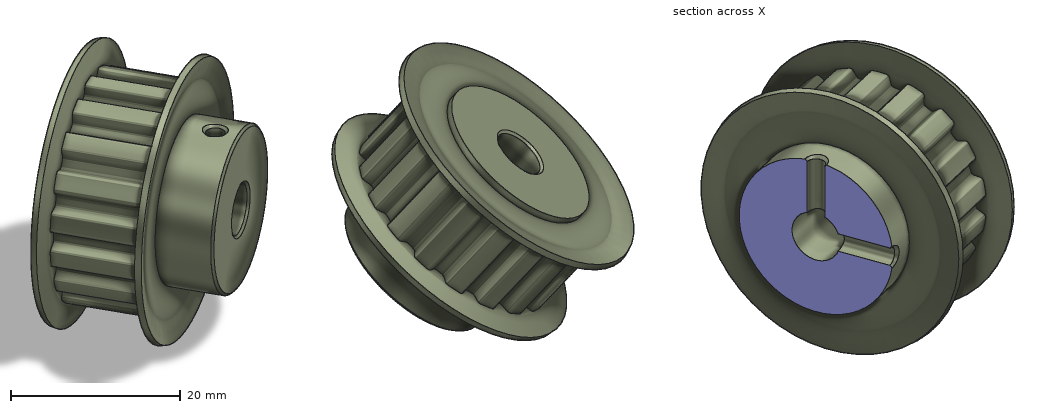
import cadquery as cq
import math


rim_length = 14.3
hub_length = 6.35
total_length = rim_length + hub_length
rim_middle = rim_length / 2

tooth_count = 18
tooth_pitch_angle = 360 / tooth_count
tip_radius = 14.32
groove_depth = 1.4
groove_floor_width = 1.32
groove_half_angle = 25
groove_floor_fillet = 0.41
tooth_tip_fillet = 0.47
root_radius = tip_radius - groove_depth
toothed_length = 10.95

flange_thickness = 0.8
flange_radius = 17.46
flange_bend_radius = 14.45
flange_bend_angle = 12

hub_radius = 10.33
hub_end_chamfer = 0.3
bore_diameter = 6.35
bore_chamfer = 0.3
screw_hole_diameter = 2.3
screw_mouth_diameter = 3.1
screw_x = rim_length + hub_length / 2


def make_toothed_body():
    """Cylinder with tapered grooves; a tooth is centred on +Z, a groove on +Y."""
    body = cq.Workplane("YZ").circle(tip_radius).extrude(toothed_length)

    outer_reach = tip_radius + groove_depth
    floor_half = groove_floor_width / 2
    widening = (outer_reach - root_radius) * math.tan(math.radians(groove_half_angle))
    mouth_half = floor_half + widening
    groove = (
        cq.Workplane("YZ")
        .moveTo(root_radius, -floor_half)
        .lineTo(outer_reach, -mouth_half)
        .lineTo(outer_reach, mouth_half)
        .lineTo(root_radius, floor_half)
        .close()
        .extrude(toothed_length)
        .edges("|X and <Y")
        .fillet(groove_floor_fillet)
    )
    for index in range(tooth_count):
        body = body.cut(groove.rotate((0, 0, 0), (1, 0, 0), index * tooth_pitch_angle))

    groove_middle_radius = (root_radius + tip_radius) / 2
    tip_edges = [
        edge
        for edge in body.edges("|X").vals()
        if math.hypot(edge.Center().y, edge.Center().z) > groove_middle_radius
    ]
    body = body.newObject(tip_edges).fillet(tooth_tip_fillet)
    return body.translate((rim_middle - toothed_length / 2, 0, 0))


def make_left_flange():
    """Flange at the -X end: flat web, outer ring bent toward -X, rim square to the ring."""
    bend = math.radians(flange_bend_angle)
    inner_x = rim_middle - toothed_length / 2
    outer_x = inner_x - flange_thickness
    inner_bend_radius = flange_bend_radius + flange_thickness * math.tan(bend / 2)
    rim_inner_x = inner_x - (flange_radius - inner_bend_radius) * math.tan(bend)
    rim_outer_x = rim_inner_x - flange_thickness * math.cos(bend)
    rim_outer_radius = flange_radius - flange_thickness * math.sin(bend)
    return (
        cq.Workplane("XY")
        .moveTo(outer_x, 0)
        .lineTo(outer_x, flange_bend_radius)
        .lineTo(rim_outer_x, rim_outer_radius)
        .lineTo(rim_inner_x, flange_radius)
        .lineTo(inner_x, inner_bend_radius)
        .lineTo(inner_x, 0)
        .close()
        .revolve(360, (0, 0, 0), (1, 0, 0))
    )


def make_core():
    """Full-length hub cylinder with its +X end chamfered."""
    core = cq.Workplane("YZ").circle(hub_radius).extrude(total_length)
    return core.faces(">X").chamfer(hub_end_chamfer)


def make_bore():
    """Through bore with a chamfer at each end."""
    bore_radius = bore_diameter / 2
    mouth_radius = bore_radius + bore_chamfer
    return (
        cq.Workplane("XY")
        .lineTo(0, mouth_radius)
        .lineTo(bore_chamfer, bore_radius)
        .lineTo(total_length - bore_chamfer, bore_radius)
        .lineTo(total_length, mouth_radius)
        .lineTo(total_length, 0)
        .close()
        .revolve(360, (0, 0, 0), (1, 0, 0))
    )


def make_screw_hole():
    """Radial set screw hole along +Z, from the bore to a 45 degree countersink at the hub surface."""
    hole_radius = screw_hole_diameter / 2
    mouth_radius = screw_mouth_diameter / 2
    countersink_depth = mouth_radius - hole_radius
    return (
        cq.Workplane("XZ")
        .lineTo(hole_radius, 0)
        .lineTo(hole_radius, hub_radius - countersink_depth)
        .lineTo(mouth_radius, hub_radius)
        .lineTo(0, hub_radius)
        .close()
        .revolve(360, (0, 0, 0), (0, 1, 0))
        .translate((screw_x, 0, 0))
    )


left_flange = make_left_flange()
right_flange = left_flange.mirror("YZ").translate((rim_length, 0, 0))
screw_hole = make_screw_hole()
side_screw_hole = screw_hole.rotate((0, 0, 0), (1, 0, 0), -90)

result = (
    make_toothed_body()
    .union(left_flange)
    .union(right_flange)
    .union(make_core())
    .cut(make_bore())
    .cut(screw_hole)
    .cut(side_screw_hole)
)